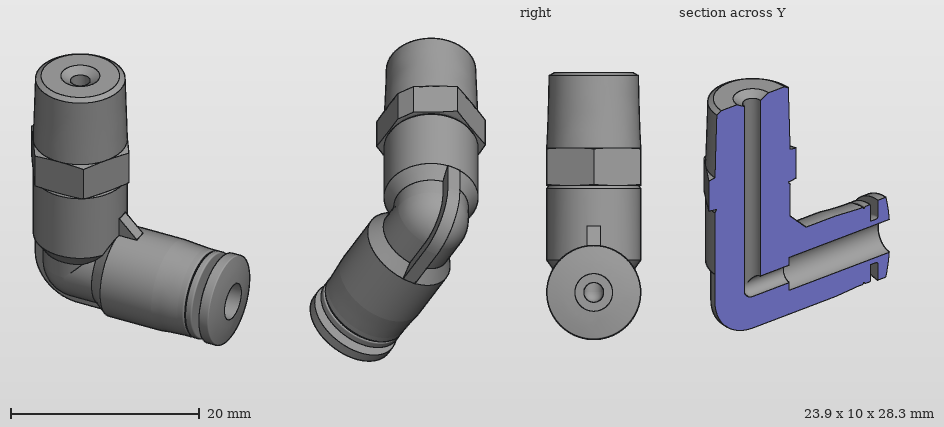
import cadquery as cq
import math

total_height = 28.3
body_dia = 10.0
body_radius = body_dia / 2
arm_height = body_radius
elbow_radius = 3.95

thread_top_radius = 9.5 / 2
thread_tip_radius = 4.15
thread_chamfer_height = 0.35

hex_bottom = 16.33
hex_top = 20.32
hex_corner_drop = 0.1
hex_corner_radius = body_radius / math.cos(math.radians(30))
marker_cut = 1.13

stem_edge_chamfer = 0.35
stem_neck_radius = body_radius - 0.23
stem_bottom = 8.43
stem_cone_bottom = 6.95

arm_cone_start = 3.3
arm_cone_end = 4.85
arm_taper_start = 10.92
arm_taper_end = 13.92
arm_groove_start = 14.65
arm_groove_end = 14.77
arm_end = 15.6
arm_end_radius = 4.78
groove_radius = 4.58
ring_rounding = 0.17

button_neck_radius = 5.4 / 2
button_start = 16.53
button_rim_end = 17.65
button_end = 18.08
button_radius = 9.9 / 2
button_neck_rounding = 0.23
button_rim_rounding = 0.15
button_dome_middle = (17.9, 3.5)

rib_width = 1.45
gusset_size = 2.07

bore_radius = 2.1 / 2
countersink_radius = 2.07
countersink_depth = (countersink_radius - bore_radius) * math.tan(math.radians(30))
socket_radius = 4.0 / 2
socket_start = arm_cone_end


def revolve_about_stem(profile):
    """Revolve (radius, z) points about the stem axis."""
    return cq.Workplane("XZ").polyline(profile).close().revolve(360, (0, 0), (0, 1))


def revolve_about_arm(profile):
    """Revolve (x, radius) points about the arm axis."""
    plane = cq.Workplane("XZ", origin=(0, 0, arm_height))
    return plane.polyline(profile).close().revolve(360, (0, 0), (1, 0))


def elbow_pipe(radius, z_end, x_end):
    """Round bend: an upright and a level cylinder joined by a ball."""
    upright = cq.Workplane("XY", origin=(0, 0, arm_height)).circle(radius).extrude(z_end - arm_height)
    level = cq.Workplane("YZ", origin=(0, 0, arm_height)).circle(radius).extrude(x_end)
    ball = cq.Workplane("XY", origin=(0, 0, arm_height)).sphere(radius)
    return upright.union(level).union(ball)


def make_thread():
    return revolve_about_stem([
        (0, hex_top),
        (body_radius, hex_top),
        (thread_top_radius, total_height - thread_chamfer_height),
        (thread_tip_radius, total_height),
        (0, total_height),
    ])


def make_hexagon():
    """Hexagon with corners on X, one corner cut flat, and both ends bevelled."""
    prism = (
        cq.Workplane("XY", origin=(0, 0, hex_bottom))
        .polygon(6, 2 * hex_corner_radius)
        .extrude(hex_top - hex_bottom)
    )
    cut_distance = hex_corner_radius - marker_cut / 2
    cutter = (
        cq.Workplane("XY")
        .box(hex_corner_radius, 2 * hex_corner_radius, total_height, centered=(False, True, False))
        .translate((cut_distance, 0, 0))
        .rotate((0, 0, 0), (0, 0, 1), 120)
    )
    bevel = revolve_about_stem([
        (0, hex_bottom),
        (body_radius, hex_bottom),
        (hex_corner_radius, hex_bottom + hex_corner_drop),
        (hex_corner_radius, hex_top - hex_corner_drop),
        (body_radius, hex_top),
        (0, hex_top),
    ])
    return prism.cut(cutter).intersect(bevel)


def make_stem():
    return revolve_about_stem([
        (0, stem_cone_bottom),
        (elbow_radius, stem_cone_bottom),
        (body_radius, stem_bottom),
        (body_radius, hex_bottom - stem_edge_chamfer),
        (stem_neck_radius, hex_bottom),
        (0, hex_bottom),
    ])


def arm_cylinder(start, end, radius):
    """Cylinder on the arm axis between two X positions."""
    plane = cq.Workplane("YZ", origin=(start, 0, arm_height))
    return plane.circle(radius).extrude(end - start)


def make_arm():
    """Coned and tapered arm with a rounded land, a narrow groove and a rounded ring."""
    sleeve = revolve_about_arm([
        (arm_cone_start, 0),
        (arm_cone_start, elbow_radius),
        (arm_cone_end, body_radius),
        (arm_taper_start, body_radius),
        (arm_taper_end, arm_end_radius),
        (arm_taper_end, 0),
    ])
    land = arm_cylinder(arm_taper_end, arm_groove_start, arm_end_radius).edges(">X").fillet(ring_rounding)
    groove_core = arm_cylinder(arm_groove_start, arm_groove_end, groove_radius)
    ring = arm_cylinder(arm_groove_end, arm_end, arm_end_radius).edges().fillet(ring_rounding)
    return sleeve.union(land).union(groove_core).union(ring)


def make_button():
    """Release button: neck flaring into a rim with a domed face around the tube socket."""
    flare_start = button_start - button_neck_rounding
    flare_radius = button_neck_radius + button_neck_rounding
    head = (
        cq.Workplane("XZ", origin=(0, 0, arm_height))
        .moveTo(arm_end, 0)
        .lineTo(arm_end, button_neck_radius)
        .lineTo(flare_start, button_neck_radius)
        .radiusArc((button_start, flare_radius), -button_neck_rounding)
        .lineTo(button_start, button_radius)
        .lineTo(button_rim_end - button_rim_rounding, button_radius)
        .radiusArc((button_rim_end, button_radius - button_rim_rounding), button_rim_rounding)
        .threePointArc(button_dome_middle, (button_end, socket_radius))
        .lineTo(button_end, 0)
        .close()
    )
    return head.revolve(360, (0, 0), (1, 0))


def make_outer_rib():
    """Flat rib around the outside of the bend."""
    diagonal = body_radius / math.sqrt(2)
    return (
        cq.Workplane("XZ")
        .moveTo(0, stem_bottom)
        .lineTo(-body_radius, stem_bottom)
        .lineTo(-body_radius, arm_height)
        .threePointArc((-diagonal, arm_height - diagonal), (0, 0))
        .lineTo(arm_cone_end, 0)
        .lineTo(arm_cone_end, arm_height)
        .lineTo(0, arm_height)
        .close()
        .extrude(rib_width / 2, both=True)
    )


def make_gusset():
    """Sloping web in the inside corner between stem and arm."""
    return (
        cq.Workplane("XZ")
        .moveTo(0, arm_height)
        .lineTo(0, body_dia + gusset_size)
        .lineTo(body_radius, body_dia + gusset_size)
        .lineTo(body_radius + gusset_size, body_dia)
        .lineTo(body_radius + gusset_size, arm_height)
        .close()
        .extrude(rib_width / 2, both=True)
    )


def make_passages():
    """Bent bore with a countersunk stem mouth and a wider tube socket in the arm."""
    bore = elbow_pipe(bore_radius, total_height, socket_start)
    countersink = revolve_about_stem([
        (0, total_height - countersink_depth),
        (bore_radius, total_height - countersink_depth),
        (countersink_radius, total_height),
        (0, total_height),
    ])
    socket = (
        cq.Workplane("YZ", origin=(socket_start, 0, arm_height))
        .circle(socket_radius)
        .extrude(button_end - socket_start)
    )
    return bore.union(countersink).union(socket)


body = elbow_pipe(elbow_radius, stem_cone_bottom, arm_cone_start)
for piece in (
    make_stem(),
    make_arm(),
    make_hexagon(),
    make_thread(),
    make_button(),
    make_outer_rib(),
    make_gusset(),
):
    body = body.union(piece)

result = body.cut(make_passages())